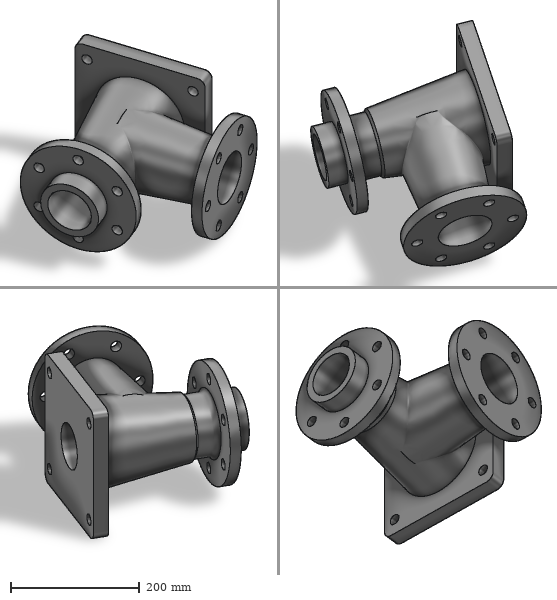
import cadquery as cq
import math

plate_side = 225.0
plate_thickness = 25.0
plate_corner_radius = 14.0
plate_hole_pitch_x = 182.8
plate_hole_pitch_z = 168.3

bolt_hole_diameter = 18.0
flange_diameter = 200.0
flange_thickness = 18.2
bolt_circle_diameter = 155.5
bolt_count = 6

main_length = 280.0
spigot_length = 31.2
spigot_diameter = 100.0
neck_diameter = 103.0
main_bore_diameter = 75.0
cone_large_diameter = 153.8
cone_small_diameter = 112.0
cone_end = 190.7
cone_chamfer_end = 194.5
flare_length = 9.7
flare_height = 5.8
flange_front = main_length - spigot_length
flange_back = flange_front - flange_thickness

overall_width = 302.7
branch_end = overall_width - plate_side / 2
branch_axis_y = -flange_diameter / 2
branch_start = 9.0
branch_root_diameter = 125.0
branch_root_x = 74.5
branch_tip_diameter = 106.8
branch_bore_diameter = 87.0
branch_flange_back = branch_end - flange_thickness
branch_taper = (branch_root_diameter - branch_tip_diameter) / (branch_flange_back - branch_root_x)
branch_start_diameter = branch_root_diameter + branch_taper * (branch_root_x - branch_start)
branch_end_ramp = 3.5
junction_fillet = 2.5


def along_main(distance):
    """Sketch plane facing -Y at a distance in front of the plate's rear face."""
    return cq.Workplane("XZ", origin=(0, -distance, 0))


def along_branch(x):
    """Sketch plane facing +X, centred on the branch axis."""
    return cq.Workplane("YZ", origin=(x, branch_axis_y, 0))


def round_flange(base, first_hole_angle):
    """Disc with evenly spaced bolt holes."""
    holes = (
        base.polarArray(bolt_circle_diameter / 2, first_hole_angle, 360, bolt_count)
        .circle(bolt_hole_diameter / 2)
        .extrude(flange_thickness)
    )
    return base.circle(flange_diameter / 2).extrude(flange_thickness).cut(holes)


def mounting_plate():
    plate = along_main(0).rect(plate_side, plate_side).extrude(plate_thickness)
    plate = plate.edges("|Y").fillet(plate_corner_radius)
    holes = (
        along_main(0)
        .rect(plate_hole_pitch_x, plate_hole_pitch_z, forConstruction=True)
        .vertices()
        .circle(bolt_hole_diameter / 2)
        .extrude(plate_thickness)
    )
    return plate.cut(holes)


def main_cone():
    return (
        cq.Workplane("XY")
        .moveTo(0, -plate_thickness)
        .lineTo(cone_large_diameter / 2, -plate_thickness)
        .lineTo(cone_small_diameter / 2, -cone_end)
        .lineTo(neck_diameter / 2, -cone_chamfer_end)
        .lineTo(0, -cone_chamfer_end)
        .close()
        .revolve(360, (0, 0, 0), (0, 1, 0))
    )


def neck_and_spigot():
    """Straight neck with a concave flare into the flange, then the spigot in front of it."""
    neck_radius = neck_diameter / 2
    flare_start = flange_back - flare_length
    flare_radius = (flare_length**2 + flare_height**2) / (2 * flare_height)
    half_angle = math.asin(flare_length / flare_radius) / 2
    flare_middle = (
        neck_radius + flare_radius * (1 - math.cos(half_angle)),
        -flare_start - flare_radius * math.sin(half_angle),
    )
    return (
        cq.Workplane("XY")
        .moveTo(0, -cone_chamfer_end)
        .lineTo(neck_radius, -cone_chamfer_end)
        .lineTo(neck_radius, -flare_start)
        .threePointArc(flare_middle, (neck_radius + flare_height, -flange_back))
        .lineTo(spigot_diameter / 2, -flange_back)
        .lineTo(spigot_diameter / 2, -main_length)
        .lineTo(0, -main_length)
        .close()
        .revolve(360, (0, 0, 0), (0, 1, 0))
    )


def branch_cone():
    return (
        cq.Workplane("XY", origin=(0, branch_axis_y, 0))
        .moveTo(branch_start - branch_end_ramp, 0)
        .lineTo(branch_start - branch_end_ramp, branch_start_diameter / 2 - branch_end_ramp)
        .lineTo(branch_start, branch_start_diameter / 2)
        .lineTo(branch_root_x, branch_root_diameter / 2)
        .lineTo(branch_flange_back, branch_tip_diameter / 2)
        .lineTo(branch_flange_back, 0)
        .close()
        .revolve(360, (0, 0, 0), (1, 0, 0))
    )


class JunctionSelector(cq.Selector):
    """Edges where the branch runs into the main cone."""

    def filter(self, edges):
        return [edge for edge in edges if edge.geomType() not in ("LINE", "CIRCLE")]


result = (
    main_cone()
    .union(branch_cone())
    .edges(JunctionSelector())
    .fillet(junction_fillet)
    .union(mounting_plate())
    .union(neck_and_spigot())
    .union(round_flange(along_main(flange_back), 90))
    .union(round_flange(along_branch(branch_flange_back), 0))
)

result = result.cut(along_main(0).circle(main_bore_diameter / 2).extrude(main_length))
result = result.cut(along_branch(0).circle(branch_bore_diameter / 2).extrude(branch_end))